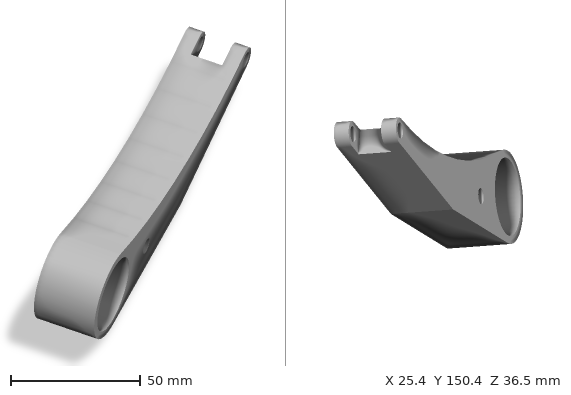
import cadquery as cq
import math

width = 25.4
ring_radius = 18.27
bore_radius = 15.2
tip_radius = 5.1
pin_radius = 3.2
pin_distance = 150.4 - ring_radius - tip_radius
top_arc_radius = 200.0
flat_end_y = 64.5
side_hole_y = 31.7
side_hole_z = -6.3
side_hole_radius = 3.2
slot_width = 13.2
slot_end_offset = 7.8

tip_end_y = pin_distance + tip_radius

ring_reach = top_arc_radius + ring_radius
tip_reach = top_arc_radius + tip_radius
arc_y = (ring_reach**2 - tip_reach**2 + pin_distance**2) / (2 * pin_distance)
arc_z = math.sqrt(ring_reach**2 - arc_y**2)

corner_y = flat_end_y - pin_distance
corner_distance = math.hypot(corner_y, ring_radius)
corner_angle = math.atan2(-ring_radius, corner_y)
under_angle = corner_angle + math.acos(tip_radius / corner_distance)


def on_circle(center_y, radius, angle):
    """Point (y, z) on a circle centred on the Y axis."""
    return (center_y + radius * math.cos(angle), radius * math.sin(angle))


def arm():
    ring_angle = math.atan2(arc_z, arc_y)
    tip_angle = math.atan2(arc_z, arc_y - pin_distance)
    arc_middle = (arc_y, arc_z - top_arc_radius)

    return (
        cq.Workplane("YZ")
        .moveTo(0, -ring_radius)
        .lineTo(flat_end_y, -ring_radius)
        .lineTo(*on_circle(pin_distance, tip_radius, under_angle))
        .threePointArc((tip_end_y, 0), on_circle(pin_distance, tip_radius, tip_angle))
        .threePointArc(arc_middle, on_circle(0, ring_radius, ring_angle))
        .threePointArc((-ring_radius, 0), (0, -ring_radius))
        .close()
        .extrude(width / 2, both=True)
    )


def cross_hole(y, z, radius):
    return cq.Workplane("YZ").center(y, z).circle(radius).extrude(width / 2, both=True)


def fork_slot():
    """Gap between the fork ears, its end wall square to the sloped underside."""
    slot_length = slot_end_offset + 2 * tip_radius
    slot_height = 2 * ring_radius
    return (
        cq.Workplane("XY")
        .box(slot_width, slot_length, slot_height)
        .translate((0, slot_length / 2 - slot_end_offset, 0))
        .rotate((0, 0, 0), (1, 0, 0), math.degrees(under_angle) + 90)
        .translate((0, pin_distance, 0))
    )


result = (
    arm()
    .cut(fork_slot())
    .cut(cross_hole(0, 0, bore_radius))
    .cut(cross_hole(pin_distance, 0, pin_radius))
    .cut(cross_hole(side_hole_y, side_hole_z, side_hole_radius))
)